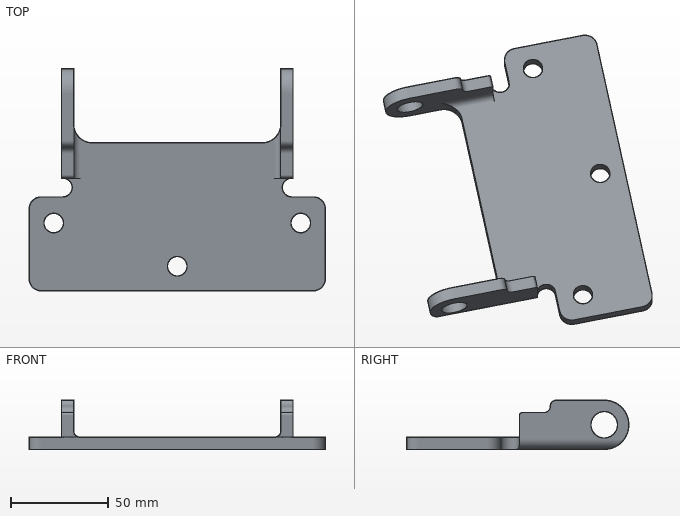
import cadquery as cq

width = 152.4
depth = 114.3
height = 25.4
thickness = 6.35

plate_back_y = 76.2
corner_radius = 6.35
mount_hole_diameter = 9.91
side_hole_x = 63.5
side_hole_y = 34.925
front_hole_y = 12.7

ear_outer_x = 59.53
ear_inner_x = ear_outer_x - thickness
ear_front_y = 57.94
ear_root_radius = 9.525
inner_bend_radius = 3.175
outer_bend_radius = 5.08

ear_end_radius = height / 2
pivot_y = depth - ear_end_radius
pivot_z = height / 2
pivot_hole_diameter = 13.49
step_length = 15.875
step_y = ear_front_y + step_length
step_drop = 6.35
step_z = height - step_drop
step_radius = step_drop / 2
ear_corner_radius = 1.5875

relief_radius = 4.7625
relief_center_x = 58.8
relief_center_y = ear_front_y - relief_radius
wing_back_y = relief_center_y - relief_radius


def plan_body():
    """Outline seen along Z, with relief notches and ears, at full height."""
    half_outline = (
        cq.Workplane("XY")
        .lineTo(width / 2 - corner_radius, 0)
        .radiusArc((width / 2, corner_radius), -corner_radius)
        .lineTo(width / 2, wing_back_y - corner_radius)
        .radiusArc((width / 2 - corner_radius, wing_back_y), -corner_radius)
        .lineTo(relief_center_x, wing_back_y)
        .threePointArc((relief_center_x - relief_radius, relief_center_y), (relief_center_x, ear_front_y))
        .lineTo(ear_outer_x, ear_front_y)
        .lineTo(ear_outer_x, depth)
        .lineTo(ear_inner_x, depth)
        .lineTo(ear_inner_x, plate_back_y + ear_root_radius)
        .radiusArc((ear_inner_x - ear_root_radius, plate_back_y), ear_root_radius)
        .lineTo(0, plate_back_y)
        .close()
    )
    half = half_outline.extrude(height)
    return half.union(half.mirror("YZ"))


def side_body():
    """Outline seen along X: the plate, the stepped ear and its round end."""
    return (
        cq.Workplane("YZ")
        .lineTo(pivot_y, 0)
        .threePointArc((depth, pivot_z), (pivot_y, height))
        .lineTo(step_y + step_radius, height)
        .radiusArc((step_y, height - step_radius), -step_radius)
        .radiusArc((step_y - step_radius, step_z), step_radius)
        .lineTo(ear_front_y + ear_corner_radius, step_z)
        .radiusArc((ear_front_y, step_z - ear_corner_radius), -ear_corner_radius)
        .lineTo(ear_front_y, thickness)
        .lineTo(0, thickness)
        .close()
        .extrude(width / 2, both=True)
    )


def bent_section_body():
    """U-shaped section behind the middle of the relief notches, plain block in front of it."""
    channel_length = depth - relief_center_y
    outer = (
        cq.Workplane("XY")
        .box(2 * ear_outer_x, channel_length, height, centered=(True, False, False))
        .edges("|Y and <Z")
        .fillet(outer_bend_radius)
    )
    inner = (
        cq.Workplane("XY")
        .box(2 * ear_inner_x, channel_length, height - thickness, centered=(True, False, False))
        .edges("|Y and <Z")
        .fillet(inner_bend_radius)
        .translate((0, 0, thickness))
    )
    channel = outer.cut(inner).translate((0, relief_center_y, 0))
    front_block = cq.Workplane("XY").box(width, relief_center_y, height, centered=(True, False, False))
    return channel.union(front_block)


def mount_holes():
    """Three through holes in the plate."""
    centers = [(-side_hole_x, side_hole_y), (side_hole_x, side_hole_y), (0, front_hole_y)]
    return cq.Workplane("XY").pushPoints(centers).circle(mount_hole_diameter / 2).extrude(thickness)


def pivot_holes():
    """Coaxial holes through both ears."""
    return (
        cq.Workplane("YZ")
        .center(pivot_y, pivot_z)
        .circle(pivot_hole_diameter / 2)
        .extrude(width / 2, both=True)
    )


bracket = plan_body().intersect(side_body()).intersect(bent_section_body())
result = bracket.cut(mount_holes()).cut(pivot_holes())